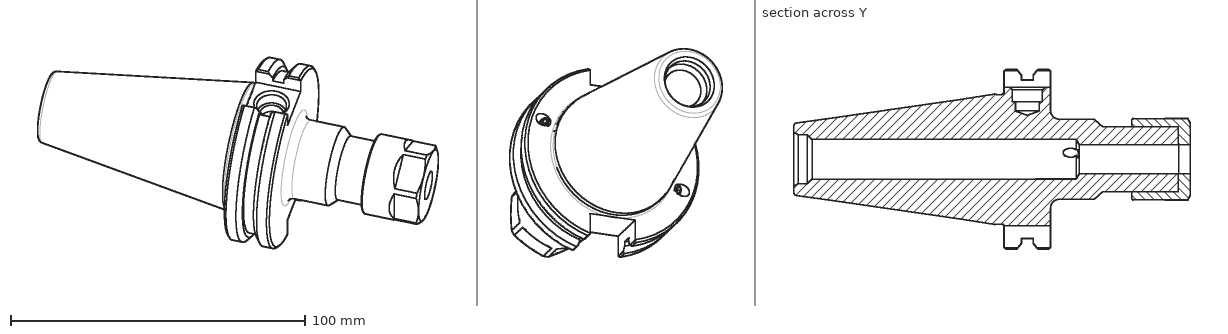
import cadquery as cq
import math

TOTAL_LENGTH = 134.8

TAPER_RATE = 7 / 24
GAUGE_DIAMETER = 44.5
GAUGE_X = 68.3
RELIEF_DIAMETER = 44.2
RELIEF_START = 68.9
GAUGE_RADIUS = GAUGE_DIAMETER / 2
RELIEF_RADIUS = RELIEF_DIAMETER / 2
SMALL_END_RADIUS = GAUGE_RADIUS - GAUGE_X * TAPER_RATE / 2
SMALL_END_ROUNDING = 1.2

FLANGE_DIAMETER = 63.5
FLANGE_RADIUS = FLANGE_DIAMETER / 2
FLANGE_START = 71.5
FLANGE_END = 87.4
FLANGE_CHAMFER = 0.8
FLANGE_ROOT_FILLET = 0.7
GROOVE_CENTER = 79.4
GROOVE_TOP_WIDTH = 7.3
GROOVE_FLOOR_WIDTH = 3.9
GROOVE_BEVEL_RADIUS = 29.7
GROOVE_FLOOR_RADIUS = 28.2

SLOT_WIDTH = 16.3
SLOT_EDGE_CHAMFER = 0.5
UPPER_SLOT_FLOOR = 24.5
LOWER_SLOT_FLOOR = 22.6

SLOT_HOLE_DIAMETER = 10.1
SLOT_HOLE_RIM_DIAMETER = 12.0
SLOT_HOLE_DEPTH = 5.0
PILOT_DIAMETER = 8.0
PILOT_DEPTH = 8.1
PILOT_TIP_ANGLE = 140.0

SHOULDER_DIAMETER = 27.4
SHOULDER_RADIUS = SHOULDER_DIAMETER / 2
SHOULDER_FILLET = 3.0
SHOULDER_END = 102.2
NOSE_DIAMETER = 22.2
NOSE_RADIUS = NOSE_DIAMETER / 2
NOSE_START = 105.0
NOSE_END = 130.8

ENTRY_DIAMETER = 18.2
ENTRY_RADIUS = ENTRY_DIAMETER / 2
THREAD_RADIUS = 8.2
ENTRY_DEPTH = 1.6
THREAD_END = 4.7
BORE_DIAMETER = 13.3
BORE_RADIUS = BORE_DIAMETER / 2
BORE_START = 6.3
BORE_END = 96.0
THROUGH_RADIUS = 4.9
THROUGH_START = 97.0

COOLANT_POSITIONS = (20.0, 200.0)
COOLANT_ENTRY_RADIUS = 27.0
COOLANT_SLANT = 42.0
SCREW_HOLE_DIAMETER = 4.0
SCREW_HOLE_DEPTH = 7.4
COOLANT_DIAMETER = 3.2

SCREW_RECESS = 1.3
SCREW_LENGTH = SCREW_HOLE_DEPTH - SCREW_RECESS
SCREW_CHAMFER = 0.5
SOCKET_WIDTH = 2.0
SOCKET_DEPTH = 2.0

NUT_START = 114.9
NUT_RADIUS = 13.9
NUT_REAR_CHAMFER = 0.4
HEX_SIDES = 6
HEX_WIDTH = 25.0
HEX_START = 126.2
FRONT_FACE_RADIUS = 12.4
FRONT_CHAMFER_ANGLE = 30.0


def revolve_around_x(points):
    """Solid of revolution about X from an (x, radius) outline."""
    return cq.Workplane("XY").polyline(points).close().revolve(360, (0, 0, 0), (1, 0, 0))


def fillet_ring(body, x, radius, fillet_radius):
    """Fillet the circular edge of the given radius that lies in the plane X = x."""
    margin = 0.01
    ring = cq.selectors.BoxSelector(
        (x - margin, -radius - margin, -radius - margin),
        (x + margin, radius + margin, radius + margin),
        boundingbox=True,
    )
    return body.edges(ring).fillet(fillet_radius)


def holder_blank():
    """Taper, grooved flange and neck turned in one outline."""
    half_top = GROOVE_TOP_WIDTH / 2
    half_floor = GROOVE_FLOOR_WIDTH / 2
    flange_rim = FLANGE_RADIUS - FLANGE_CHAMFER
    blank = revolve_around_x([
        (0, 0),
        (0, SMALL_END_RADIUS),
        (GAUGE_X, GAUGE_RADIUS),
        (RELIEF_START, RELIEF_RADIUS),
        (FLANGE_START, RELIEF_RADIUS),
        (FLANGE_START, flange_rim),
        (FLANGE_START + FLANGE_CHAMFER, FLANGE_RADIUS),
        (GROOVE_CENTER - half_top, FLANGE_RADIUS),
        (GROOVE_CENTER - half_floor, GROOVE_BEVEL_RADIUS),
        (GROOVE_CENTER - half_floor, GROOVE_FLOOR_RADIUS),
        (GROOVE_CENTER + half_floor, GROOVE_FLOOR_RADIUS),
        (GROOVE_CENTER + half_floor, GROOVE_BEVEL_RADIUS),
        (GROOVE_CENTER + half_top, FLANGE_RADIUS),
        (FLANGE_END - FLANGE_CHAMFER, FLANGE_RADIUS),
        (FLANGE_END, flange_rim),
        (FLANGE_END, SHOULDER_RADIUS),
        (SHOULDER_END, SHOULDER_RADIUS),
        (NOSE_START, NOSE_RADIUS),
        (NOSE_END, NOSE_RADIUS),
        (NOSE_END, 0),
    ])
    blank = fillet_ring(blank, 0, SMALL_END_RADIUS, SMALL_END_ROUNDING)
    blank = fillet_ring(blank, FLANGE_START, RELIEF_RADIUS, FLANGE_ROOT_FILLET)
    return fillet_ring(blank, FLANGE_END, SHOULDER_RADIUS, SHOULDER_FILLET)


def central_bore():
    """Stepped bore along the whole length of the holder."""
    return revolve_around_x([
        (0, 0),
        (0, ENTRY_RADIUS),
        (ENTRY_DEPTH, THREAD_RADIUS),
        (THREAD_END, THREAD_RADIUS),
        (BORE_START, BORE_RADIUS),
        (BORE_END, BORE_RADIUS),
        (THROUGH_START, THROUGH_RADIUS),
        (TOTAL_LENGTH, THROUGH_RADIUS),
        (TOTAL_LENGTH, 0),
    ])


def drive_slot(floor):
    """Cutter for a slot on the +Z side of the flange, flared where its walls meet the rim."""
    half_width = SLOT_WIDTH / 2
    flared_half_width = half_width + SLOT_EDGE_CHAMFER
    flare_end = math.sqrt(FLANGE_RADIUS**2 - flared_half_width**2)
    flare_start = flare_end - SLOT_EDGE_CHAMFER
    outline = [
        (-half_width, floor),
        (half_width, floor),
        (half_width, flare_start),
        (flared_half_width, flare_end),
        (flared_half_width, FLANGE_RADIUS),
        (-flared_half_width, FLANGE_RADIUS),
        (-flared_half_width, flare_end),
        (-half_width, flare_start),
    ]
    cutter = cq.Workplane("YZ").polyline(outline).close().extrude(FLANGE_END - FLANGE_START)
    return cutter.translate((FLANGE_START, 0, 0))


def slot_hole():
    """Countersunk blind hole with a smaller drilled pilot, straight down from the upper slot floor."""
    radius = SLOT_HOLE_DIAMETER / 2
    rim_radius = SLOT_HOLE_RIM_DIAMETER / 2
    pilot_radius = PILOT_DIAMETER / 2
    tip_depth = pilot_radius / math.tan(math.radians(PILOT_TIP_ANGLE / 2))
    outline = [
        (0, 0),
        (rim_radius, 0),
        (radius, radius - rim_radius),
        (radius, -SLOT_HOLE_DEPTH),
        (pilot_radius, -SLOT_HOLE_DEPTH),
        (pilot_radius, -PILOT_DEPTH),
        (0, -PILOT_DEPTH - tip_depth),
    ]
    hole = cq.Workplane("XZ").polyline(outline).close().revolve(360, (0, 0, 0), (0, 1, 0))
    return hole.translate((GROOVE_CENTER, 0, UPPER_SLOT_FLOOR))


def coolant_plane(position):
    """Plane at a coolant hole mouth; its normal points into the holder along the hole."""
    angle = math.radians(position)
    slant = math.radians(COOLANT_SLANT)
    across = math.cos(angle)
    up = math.sin(angle)
    mouth = (FLANGE_START, COOLANT_ENTRY_RADIUS * across, COOLANT_ENTRY_RADIUS * up)
    inward = (math.cos(slant), -math.sin(slant) * across, -math.sin(slant) * up)
    return cq.Plane(origin=mouth, xDir=(0, -up, across), normal=inward)


def coolant_hole(position):
    """Screw hole followed by the narrower passage to the central bore."""
    plane = coolant_plane(position)
    slant = math.radians(COOLANT_SLANT)
    overrun = SCREW_HOLE_DIAMETER * math.tan(slant)
    to_bore = (COOLANT_ENTRY_RADIUS - THROUGH_RADIUS) / math.sin(slant)
    screw_hole = (
        cq.Workplane(plane)
        .workplane(offset=-overrun)
        .circle(SCREW_HOLE_DIAMETER / 2)
        .extrude(overrun + SCREW_HOLE_DEPTH)
    )
    passage = cq.Workplane(plane).circle(COOLANT_DIAMETER / 2).extrude(to_bore)
    return screw_hole.union(passage)


def make_holder():
    """Taper holder with its bore, drive slots, slot hole and coolant holes."""
    holder = holder_blank().cut(central_bore())
    lower_slot = drive_slot(LOWER_SLOT_FLOOR).rotate((0, 0, 0), (1, 0, 0), 180)
    holder = holder.cut(drive_slot(UPPER_SLOT_FLOOR)).cut(lower_slot).cut(slot_hole())
    for position in COOLANT_POSITIONS:
        holder = holder.cut(coolant_hole(position))
    return holder


def make_set_screw(position):
    """Headless screw with a hexagon socket in its outer end."""
    socket_corner_diameter = SOCKET_WIDTH / math.cos(math.radians(30))
    head = cq.Workplane(coolant_plane(position)).workplane(offset=SCREW_RECESS)
    screw = head.circle(SCREW_HOLE_DIAMETER / 2).extrude(SCREW_LENGTH).edges().chamfer(SCREW_CHAMFER)
    socket = head.polygon(6, socket_corner_diameter).extrude(SOCKET_DEPTH)
    return screw.cut(socket)


def hex_flat_cutter():
    """Cutter for the flat facing -Y; its rear end slopes out at 45 degrees."""
    flat = HEX_WIDTH / 2
    outside = NUT_RADIUS + 1.3
    slope = outside - flat
    return (
        cq.Workplane("XY")
        .polyline([
            (HEX_START, -flat),
            (TOTAL_LENGTH, -flat),
            (TOTAL_LENGTH, -outside),
            (HEX_START - slope, -outside),
        ])
        .close()
        .extrude(NUT_RADIUS, both=True)
    )


def make_nut():
    """Nut that caps the nose of the holder."""
    chamfer_slope = math.tan(math.radians(FRONT_CHAMFER_ANGLE))
    front_chamfer_length = (NUT_RADIUS - FRONT_FACE_RADIUS) * chamfer_slope
    nut = revolve_around_x([
        (NUT_START, NOSE_RADIUS),
        (NUT_START, NUT_RADIUS - NUT_REAR_CHAMFER),
        (NUT_START + NUT_REAR_CHAMFER, NUT_RADIUS),
        (TOTAL_LENGTH - front_chamfer_length, NUT_RADIUS),
        (TOTAL_LENGTH, FRONT_FACE_RADIUS),
        (TOTAL_LENGTH, THROUGH_RADIUS),
        (NOSE_END, THROUGH_RADIUS),
        (NOSE_END, NOSE_RADIUS),
    ])
    for side in range(HEX_SIDES):
        nut = nut.cut(hex_flat_cutter().rotate((0, 0, 0), (1, 0, 0), side * 360 / HEX_SIDES))
    return nut


holder = make_holder()
nut = make_nut()
set_screws = [make_set_screw(position) for position in COOLANT_POSITIONS]

result = cq.Compound.makeCompound([holder.val(), nut.val(), *[screw.val() for screw in set_screws]])